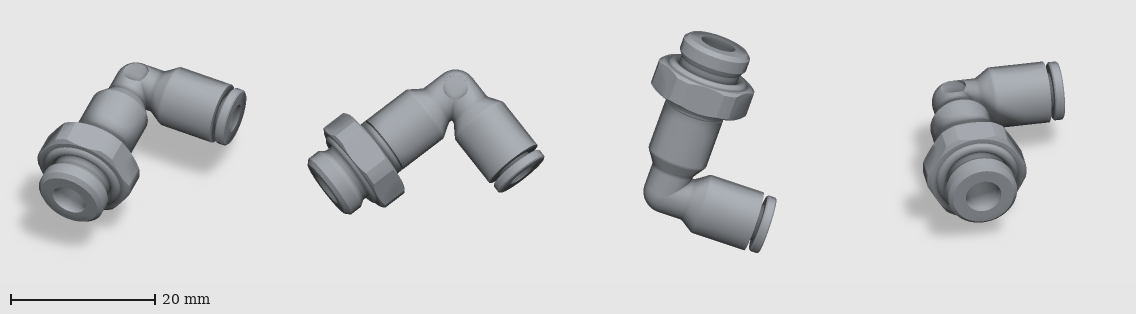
import cadquery as cq
import math


elbow_radius = 2.95
body_radius = 4.25
cone_start_at = 3.42
cone_end_at = 5.35
cone_blend_radius = 0.6
logo_recess_radius = 1.75
logo_recess_height = 2.37

tube_body_end_at = 13.07
collar_stem_radius = 2.6
flange_radius = 4.05
flange_start_at = 13.72
flange_end_at = 15.06
flange_edge_chamfer = 0.2

overall_length = 26.9
arm_length = overall_length - body_radius
gap_radius = 3.52
gap_width = 0.25
gap_start_at = 12.48
hex_start_at = 14.0
hex_length = 4.1
hex_across_flats = 13.0
hex_corner_radius = 7.0
hex_face_radius = 6.45
hex_chamfer_length = 0.35
collar_fillet_radius = 0.43
relief_radius = 4.28
thread_radius = 4.87
thread_length = 2.29
thread_runout_length = 0.9
thread_tip_chamfer = thread_radius - relief_radius
ring_section_radius = 0.75
ring_protrusion = 0.6

bore_radius = 2.0
inlet_bore_radius = 2.5

gap_end_at = gap_start_at + gap_width
hex_end_at = hex_start_at + hex_length
thread_start_at = arm_length - thread_length
runout_start_at = thread_start_at - thread_runout_length


def turned(points):
    """Solid turned about the X axis from (position, radius) points."""
    first, last = points[0], points[-1]
    outline = [(first[0], 0)] + points + [(last[0], 0)]
    return cq.Workplane("XY").polyline(outline).close().revolve(360, (0, 0, 0), (1, 0, 0))


def rod(radius, start, end):
    """Plain cylinder along X."""
    return turned([(start, radius), (end, radius)])


def shoulder_body(end):
    """Neck, blended cone and body common to both arms."""
    body = turned([
        (0, elbow_radius),
        (cone_start_at, elbow_radius),
        (cone_end_at, body_radius),
        (end, body_radius),
    ])
    reach = 2 * body_radius
    cone_zone = cq.selectors.BoxSelector(
        (elbow_radius, -reach, -reach),
        (cone_end_at + cone_blend_radius, reach, reach),
        boundingbox=True,
    )
    return body.edges(cone_zone).edges("%CIRCLE").fillet(cone_blend_radius)


def tube_arm():
    stem = rod(collar_stem_radius, tube_body_end_at, flange_start_at)
    flange = rod(flange_radius, flange_start_at, flange_end_at)
    flange = flange.edges("%CIRCLE").chamfer(flange_edge_chamfer)
    return shoulder_body(tube_body_end_at).union(stem).union(flange)


def hexagon():
    """Hexagon with rounded corners and both faces chamfered."""
    across_corners = hex_across_flats / math.cos(math.pi / 6)
    prism = (
        cq.Workplane("YZ", origin=(hex_start_at, 0, 0))
        .polygon(6, across_corners)
        .extrude(hex_length)
    )
    barrel = turned([
        (hex_start_at, hex_face_radius),
        (hex_start_at + hex_chamfer_length, hex_corner_radius),
        (hex_end_at - hex_chamfer_length, hex_corner_radius),
        (hex_end_at, hex_face_radius),
    ])
    return prism.intersect(barrel)


def collar():
    """Short collar flaring into the hexagon through a concave fillet."""
    flare_start_at = hex_start_at - collar_fillet_radius
    flare_radius = body_radius + collar_fillet_radius
    arc_offset = collar_fillet_radius * math.sqrt(0.5)
    return (
        cq.Workplane("XY")
        .moveTo(gap_end_at, 0)
        .lineTo(gap_end_at, body_radius)
        .lineTo(flare_start_at, body_radius)
        .threePointArc(
            (flare_start_at + arc_offset, flare_radius - arc_offset),
            (hex_start_at, flare_radius),
        )
        .lineTo(hex_start_at, 0)
        .close()
        .revolve(360, (0, 0, 0), (1, 0, 0))
    )


def seal_ring():
    ring_radius = relief_radius + ring_section_radius
    ring_at = hex_end_at + ring_protrusion - ring_section_radius
    ring = cq.Solid.makeTorus(
        ring_radius, ring_section_radius, cq.Vector(ring_at, 0, 0), cq.Vector(1, 0, 0)
    )
    return cq.Workplane(ring)


def thread():
    return turned([
        (hex_end_at, relief_radius),
        (runout_start_at, relief_radius),
        (thread_start_at, thread_radius),
        (arm_length - thread_tip_chamfer, thread_radius),
        (arm_length, relief_radius),
    ])


def along_minus_y(arm):
    return arm.rotate((0, 0, 0), (0, 0, 1), -90)


def threaded_arm():
    arm = shoulder_body(gap_start_at)
    arm = arm.union(rod(gap_radius, gap_start_at, gap_end_at))
    for piece in (collar(), hexagon(), seal_ring(), thread()):
        arm = arm.union(piece)
    return along_minus_y(arm)


def flow_passage():
    """Bore turning the corner, widened from the threaded end up to the swivel gap."""
    outlet = rod(bore_radius, 0, flange_end_at)
    inlet = rod(bore_radius, 0, arm_length).union(rod(inlet_bore_radius, gap_end_at, arm_length))
    corner = cq.Workplane("XY").sphere(bore_radius)
    return corner.union(outlet).union(along_minus_y(inlet))


def logo_recess():
    """Round flat-bottomed recess on top of the elbow corner."""
    return (
        cq.Workplane("XY", origin=(0, 0, logo_recess_height))
        .circle(logo_recess_radius)
        .extrude(elbow_radius)
    )


elbow_corner = cq.Workplane("XY").sphere(elbow_radius)
outside = elbow_corner.union(tube_arm()).union(threaded_arm())
result = outside.cut(flow_passage()).cut(logo_recess())